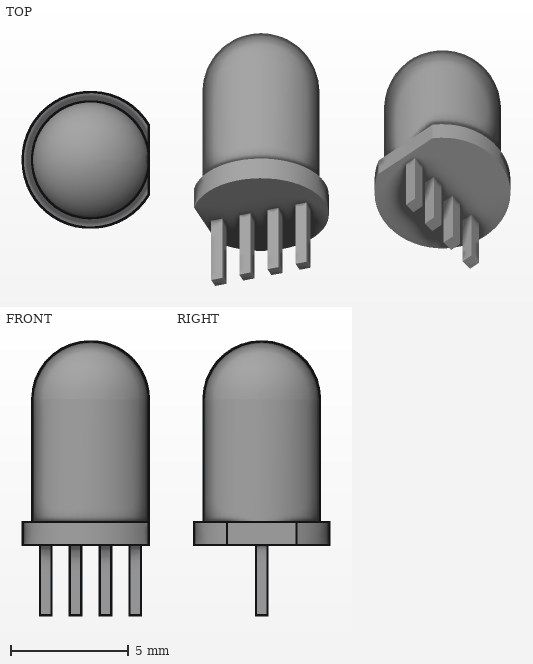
import cadquery as cq

TOTAL_HEIGHT = 11.7

LENS_DIAMETER = 5.0
LENS_RADIUS = LENS_DIAMETER / 2

FLANGE_DIAMETER = 5.8
FLANGE_RADIUS = FLANGE_DIAMETER / 2
FLANGE_THICKNESS = 1.0
FLAT_X = LENS_RADIUS

LEAD_COUNT = 4
LEAD_WIDTH = 0.5
LEAD_LENGTH = 3.0
LEAD_PITCH = 1.28

DOME_TOP_Z = TOTAL_HEIGHT - LEAD_LENGTH
DOME_BASE_Z = DOME_TOP_Z - LENS_RADIUS


def make_flange():
    """Round base disc with its +X side cut away by a flat."""
    disc = cq.Workplane("XY").circle(FLANGE_RADIUS).extrude(FLANGE_THICKNESS)
    beyond_flat = (
        cq.Workplane("XY")
        .box(FLANGE_RADIUS, FLANGE_DIAMETER, FLANGE_THICKNESS, centered=(False, True, False))
        .translate((FLAT_X, 0, 0))
    )
    return disc.cut(beyond_flat)


def make_lens():
    """Barrel and dome, revolved about Z from a half profile in the XZ plane."""
    diagonal = LENS_RADIUS * 0.5 ** 0.5
    return (
        cq.Workplane("XZ")
        .lineTo(LENS_RADIUS, 0)
        .lineTo(LENS_RADIUS, DOME_BASE_Z)
        .threePointArc((diagonal, DOME_BASE_Z + diagonal), (0, DOME_TOP_Z))
        .close()
        .revolve(360, (0, 0), (0, 1))
    )


def make_housing():
    """One-piece LED housing: flange and lens."""
    return make_flange().union(make_lens())


def make_lead(x):
    """Square lead hanging from the underside of the flange, centred at x."""
    return (
        cq.Workplane("XY")
        .center(x, 0)
        .rect(LEAD_WIDTH, LEAD_WIDTH)
        .extrude(-LEAD_LENGTH)
    )


housing = make_housing()

first_lead_x = -LEAD_PITCH * (LEAD_COUNT - 1) / 2
leads = [make_lead(first_lead_x + index * LEAD_PITCH) for index in range(LEAD_COUNT)]

result = cq.Compound.makeCompound([*housing.solids().vals(), *[lead.val() for lead in leads]])